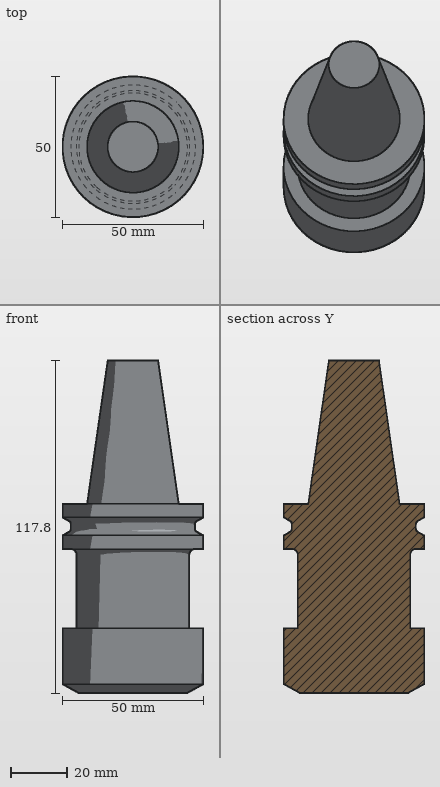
import cadquery as cq

total_height = 117.8
nut_top = 23.0
nut_chamfer_height = 3.2
flange_bottom = 51.0
flange_top = 67.0

groove_floor_width = 3.1
groove_mouth_width = 6.4
groove_corner_radius = 1.0
groove_middle = (flange_bottom + flange_top) / 2
groove_floor_bottom = groove_middle - groove_floor_width / 2
groove_floor_top = groove_middle + groove_floor_width / 2
groove_lower_edge = groove_middle - groove_mouth_width / 2
groove_upper_edge = groove_middle + groove_mouth_width / 2

flange_diameter = 50.0
groove_diameter = 44.0
flange_radius = flange_diameter / 2
groove_radius = groove_diameter / 2
nut_radius = flange_radius
nose_radius = 19.2
body_radius = 20.0
taper_large_radius = 16.3
taper_small_radius = 9.0

blend_radius = 2.0

half_section = (
    cq.Workplane("XZ")
    .moveTo(0, 0)
    .lineTo(nose_radius, 0)
    .lineTo(nut_radius, nut_chamfer_height)
    .lineTo(nut_radius, nut_top)
    .lineTo(body_radius, nut_top)
    .lineTo(body_radius, flange_bottom - blend_radius)
    .radiusArc((body_radius + blend_radius, flange_bottom), blend_radius)
    .lineTo(flange_radius, flange_bottom)
    .lineTo(flange_radius, groove_lower_edge)
    .lineTo(groove_radius, groove_floor_bottom)
    .lineTo(groove_radius, groove_floor_top)
    .lineTo(flange_radius, groove_upper_edge)
    .lineTo(flange_radius, flange_top)
    .lineTo(taper_large_radius, flange_top)
    .lineTo(taper_small_radius, total_height)
    .lineTo(0, total_height)
    .close()
)
holder = half_section.revolve(360, (0, 0, 0), (0, 1, 0))

selection_margin = 0.1
groove_floor_zone = cq.selectors.BoxSelector(
    (-flange_radius, -flange_radius, groove_floor_bottom - selection_margin),
    (flange_radius, flange_radius, groove_floor_top + selection_margin),
)
result = holder.edges("%CIRCLE").edges(groove_floor_zone).fillet(groove_corner_radius)